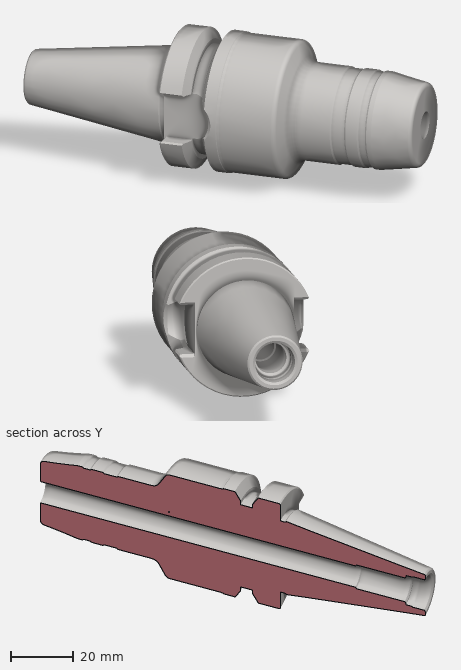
import cadquery as cq
import math

length = 133.4

taper_length = 48.3
taper_large_radius = 16.0
taper_slope = 7 / 48
taper_small_radius = taper_large_radius - taper_slope * taper_length
taper_tip_chamfer = 0.5
neck_relief = 0.4

flange_start = 50.3
flange_diameter = 46.0
flange_radius = flange_diameter / 2
flange_chamfer = 0.4
groove_center = 62.0
groove_mouth_half_width = 4.0
groove_root_half_width = 2.0
groove_flank_angle = 60.0
groove_floor_radius = 18.0
collar_end = 70.0
collar_chamfer = 0.2

body_radius = 22.7
body_start = 71.1
body_end = 88.6
cone_angle = 62.0
body_round = 1.9
nose_round = 3.0

nose_radius = 16.0
nose_grooves = ((106.5, 111.8), (115.6, 118.9))
nose_groove_depth = 0.4
nose_groove_side_length = 0.5
nose_taper_start = 120.5
nose_taper_angle = 10.0
nose_tip_round = 1.5

bore_mouth_radius = 7.3
mouth_chamfer_length = 0.5
entry_radius = 6.5
entry_depth = 4.5
counterbore_radius = 6.3
counterbore_start = 5.1
counterbore_end = 6.8
thread_mouth_radius = 5.9
thread_radius = 5.1
thread_depth = 24.0
drill_half_angle = 60.0
through_radius = 4.5

slot_half_width = 8.1
slot_floor = 16.3
slot_arc_center = 59.1
slot_entry_chamfer = 1.0
slot_edge_chamfer_start = 20.8
slot_end_chamfer_start = 21.9
cut_margin = 2.7


def sin(angle):
    return math.sin(math.radians(angle))


def cos(angle):
    return math.cos(math.radians(angle))


def tan(angle):
    return math.tan(math.radians(angle))


def arc_point(center, radius, angle):
    """Point on a circle, with the angle measured from +X."""
    return (center[0] + radius * cos(angle), center[1] + radius * sin(angle))


def add_shank(profile):
    tip_radius = taper_small_radius + taper_slope * taper_tip_chamfer
    neck_radius = taper_large_radius - neck_relief
    return (
        profile.lineTo(0, tip_radius - taper_tip_chamfer)
        .lineTo(taper_tip_chamfer, tip_radius)
        .lineTo(taper_length, taper_large_radius)
        .lineTo(taper_length + neck_relief, neck_radius)
        .lineTo(flange_start, neck_radius)
    )


def add_flange_and_collar(profile):
    flank_drop = (groove_mouth_half_width - groove_root_half_width) * tan(groove_flank_angle)
    root_radius = flange_radius - flank_drop
    return (
        profile.lineTo(flange_start, flange_radius - flange_chamfer)
        .lineTo(flange_start + flange_chamfer, flange_radius)
        .lineTo(groove_center - groove_mouth_half_width, flange_radius)
        .lineTo(groove_center - groove_root_half_width, root_radius)
        .lineTo(groove_center - groove_root_half_width, groove_floor_radius)
        .lineTo(groove_center + groove_root_half_width, groove_floor_radius)
        .lineTo(groove_center + groove_root_half_width, root_radius)
        .lineTo(groove_center + groove_mouth_half_width, flange_radius)
        .lineTo(collar_end, flange_radius)
        .lineTo(collar_end + collar_chamfer, flange_radius - collar_chamfer)
        .lineTo(body_start, body_radius)
    )


def add_body(profile):
    """Body, convex round, cone and concave round, all meeting tangentially."""
    round_drop = (body_round + nose_round) * (1 - cos(cone_angle))
    cone_drop = body_radius - nose_radius - round_drop
    body_center = (body_end, body_radius - body_round)
    cone_start = arc_point(body_center, body_round, 90 - cone_angle)
    cone_end_x = cone_start[0] + cone_drop / tan(cone_angle)
    nose_center = (cone_end_x + nose_round * sin(cone_angle), nose_radius + nose_round)
    return (
        profile.lineTo(body_end, body_radius)
        .threePointArc(arc_point(body_center, body_round, 90 - cone_angle / 2), cone_start)
        .lineTo(*arc_point(nose_center, nose_round, 270 - cone_angle))
        .threePointArc(
            arc_point(nose_center, nose_round, 270 - cone_angle / 2),
            (nose_center[0], nose_radius),
        )
    )


def add_nose(profile):
    for start, end in nose_grooves:
        floor_radius = nose_radius - nose_groove_depth
        profile = (
            profile.lineTo(start, nose_radius)
            .lineTo(start + nose_groove_side_length, floor_radius)
            .lineTo(end - nose_groove_side_length, floor_radius)
            .lineTo(end, nose_radius)
        )
    tangent_angle = 90 - nose_taper_angle
    tip_x = length - nose_tip_round
    tangent_x = tip_x + nose_tip_round * cos(tangent_angle)
    tangent_radius = nose_radius - (tangent_x - nose_taper_start) * tan(nose_taper_angle)
    tip_center = (tip_x, tangent_radius - nose_tip_round * sin(tangent_angle))
    return (
        profile.lineTo(nose_taper_start, nose_radius)
        .lineTo(tangent_x, tangent_radius)
        .threePointArc(
            arc_point(tip_center, nose_tip_round, tangent_angle / 2),
            arc_point(tip_center, nose_tip_round, 0),
        )
    )


def make_turned_body():
    profile = cq.Workplane("XY").moveTo(0, 0)
    for add_section in (add_shank, add_flange_and_collar, add_body, add_nose):
        profile = add_section(profile)
    return profile.lineTo(length, 0).close().revolve(360, (0, 0, 0), (1, 0, 0))


def make_bore():
    """Stepped counterbore, thread core hole ending in a drill point, and through hole."""
    thread_start = counterbore_end + (thread_mouth_radius - thread_radius) / tan(drill_half_angle)
    point_length = (thread_radius - through_radius) / tan(drill_half_angle)
    outline = [
        (0, 0),
        (0, bore_mouth_radius),
        (mouth_chamfer_length, entry_radius),
        (entry_depth, entry_radius),
        (counterbore_start, counterbore_radius),
        (counterbore_end, counterbore_radius),
        (counterbore_end, thread_mouth_radius),
        (thread_start, thread_radius),
        (thread_depth, thread_radius),
        (thread_depth + point_length, through_radius),
        (length, through_radius),
        (length, 0),
    ]
    return cq.Workplane("XY").polyline(outline).close().revolve(360, (0, 0, 0), (1, 0, 0))


def make_slot():
    """Round-ended slot on the +Y side with chamfered mouth, side and end edges."""
    slot_top = flange_radius + cut_margin
    slot_height = slot_top - slot_floor
    straight_length = slot_arc_center - flange_start

    def extrude_outward(outline):
        return outline.extrude(-slot_height)

    floor_plane = cq.Workplane("XZ", origin=(0, slot_floor, 0))
    straight = extrude_outward(
        floor_plane.center(flange_start + straight_length / 2, 0).rect(
            straight_length, 2 * slot_half_width
        )
    )
    round_end = extrude_outward(floor_plane.center(slot_arc_center, 0).circle(slot_half_width))

    entry_half_width = slot_half_width + slot_entry_chamfer
    entry = extrude_outward(
        floor_plane.polyline([
            (flange_start, -entry_half_width),
            (flange_start, entry_half_width),
            (flange_start + slot_entry_chamfer, slot_half_width),
            (flange_start + slot_entry_chamfer, -slot_half_width),
        ]).close()
    )

    side_top_half_width = slot_half_width + slot_top - slot_edge_chamfer_start
    sides = (
        cq.Workplane("YZ", origin=(flange_start, 0, 0))
        .polyline([
            (slot_edge_chamfer_start, -slot_half_width),
            (slot_edge_chamfer_start, slot_half_width),
            (slot_top, side_top_half_width),
            (slot_top, -side_top_half_width),
        ])
        .close()
        .extrude(straight_length)
    )

    end_top_radius = slot_half_width + slot_top - slot_end_chamfer_start
    end_cone = cq.Workplane(
        cq.Solid.makeCone(
            slot_half_width,
            end_top_radius,
            slot_top - slot_end_chamfer_start,
            pnt=cq.Vector(slot_arc_center, slot_end_chamfer_start, 0),
            dir=cq.Vector(0, 1, 0),
        )
    )
    return straight.union(round_end).union(entry).union(sides).union(end_cone)


slot = make_slot()
opposite_slot = slot.mirror("XZ")
result = make_turned_body().cut(make_bore()).cut(slot).cut(opposite_slot)